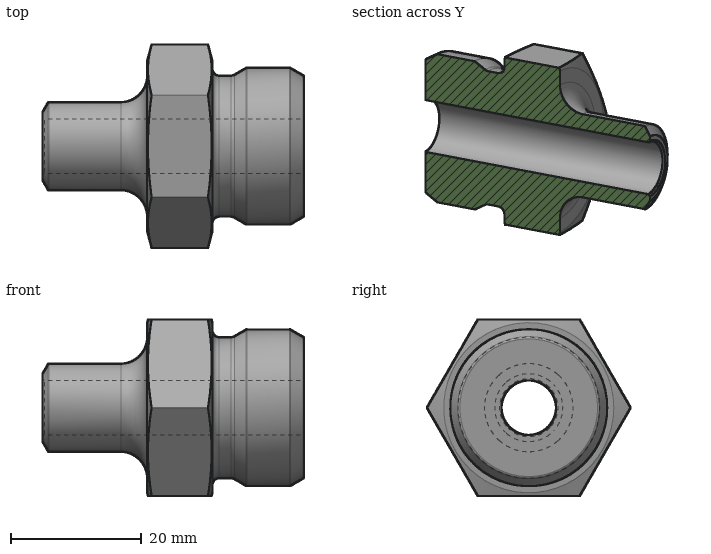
import cadquery as cq
import math

TOTAL_LENGTH = 40.0
HEX_START = 16.0
HEX_END = 26.0

HEX_ACROSS_FLATS = 27.0
HEX_CORNER_ROUND = 0.1
HEX_FACE_DIAMETER = 26.0
HEX_CHAMFER_ANGLE = 15.0

STUB_DIAMETER = 13.5
STUB_TIP_DIAMETER = 10.4
STUB_TIP_ANGLE = 60.0
STUB_TIP_ROUND = 0.2
STUB_ROOT_RADIUS = 4.0

THREAD_DIAMETER = 24.0
THREAD_START = 31.2
THREAD_FLANK_ANGLE = 30.0
THREAD_EDGE_ROUND = 0.2
THREAD_END_DIAMETER = 21.5
THREAD_END_ROUND = 0.4
UNDERCUT_DIAMETER = 21.6
UNDERCUT_RADIUS = 1.0

BORE_DIAMETER = 8.3
BORE_CHAMFER = 0.3


def slope(angle):
    """Radial rise per unit of axial travel for a cone at this angle to the axis."""
    return math.tan(math.radians(angle))


def revolve_about_x(profile):
    """Turn a closed half profile, lying in the XY plane, fully about the X axis."""
    return profile.revolve(360, (0, 0, 0), (1, 0, 0))


def round_circle(body, x, radius, round_radius):
    """Round the circular edge of the given radius that lies in the plane at x."""
    reach = 0.01
    box = cq.selectors.BoxSelector(
        (x - reach, -radius - reach, -radius - reach),
        (x + reach, radius + reach, radius + reach),
        boundingbox=True,
    )
    return body.edges(box).fillet(round_radius)


def make_stub():
    """Bevelled stub that flares into the hexagon with a quarter-round root."""
    radius = STUB_DIAMETER / 2
    tip_radius = STUB_TIP_DIAMETER / 2
    bevel_end = (radius - tip_radius) / slope(STUB_TIP_ANGLE)
    profile = (
        cq.Workplane("XY")
        .lineTo(0, tip_radius)
        .lineTo(bevel_end, radius)
        .lineTo(HEX_START - STUB_ROOT_RADIUS, radius)
        .radiusArc((HEX_START, radius + STUB_ROOT_RADIUS), -STUB_ROOT_RADIUS)
        .lineTo(HEX_START, 0)
        .close()
    )
    stub = revolve_about_x(profile)
    return round_circle(stub, bevel_end, radius, STUB_TIP_ROUND)


def make_hexagon():
    """Hexagon with flats on +Z and -Z, its corners cut by a cone at both ends."""
    across_corners = HEX_ACROSS_FLATS / math.cos(math.pi / 6)
    length = HEX_END - HEX_START
    prism = (
        cq.Workplane("YZ", origin=(HEX_START, 0, 0))
        .polygon(6, across_corners)
        .extrude(length)
        .edges("|X")
        .fillet(HEX_CORNER_ROUND)
    )
    face_radius = HEX_FACE_DIAMETER / 2
    corner_radius = across_corners / 2
    chamfer_depth = (corner_radius - face_radius) * slope(HEX_CHAMFER_ANGLE)
    envelope_profile = (
        cq.Workplane("XY")
        .moveTo(HEX_START, 0)
        .lineTo(HEX_START, face_radius)
        .lineTo(HEX_START + chamfer_depth, corner_radius)
        .lineTo(HEX_END - chamfer_depth, corner_radius)
        .lineTo(HEX_END, face_radius)
        .lineTo(HEX_END, 0)
        .close()
    )
    return prism.intersect(revolve_about_x(envelope_profile))


def make_threaded_end():
    """Undercut neck, sloped shoulder, thread cylinder and bevelled end."""
    radius = THREAD_DIAMETER / 2
    end_radius = THREAD_END_DIAMETER / 2
    neck_radius = UNDERCUT_DIAMETER / 2
    flank = slope(THREAD_FLANK_ANGLE)
    neck_end = THREAD_START - (radius - neck_radius) / flank
    bevel_start = TOTAL_LENGTH - (radius - end_radius) / flank
    profile = (
        cq.Workplane("XY")
        .moveTo(HEX_END, 0)
        .lineTo(HEX_END, neck_radius + UNDERCUT_RADIUS)
        .radiusArc((HEX_END + UNDERCUT_RADIUS, neck_radius), -UNDERCUT_RADIUS)
        .lineTo(neck_end, neck_radius)
        .lineTo(THREAD_START, radius)
        .lineTo(bevel_start, radius)
        .lineTo(TOTAL_LENGTH, end_radius)
        .lineTo(TOTAL_LENGTH, 0)
        .close()
    )
    body = revolve_about_x(profile)
    body = round_circle(body, neck_end, neck_radius, UNDERCUT_RADIUS)
    body = round_circle(body, THREAD_START, radius, THREAD_EDGE_ROUND)
    body = round_circle(body, bevel_start, radius, THREAD_EDGE_ROUND)
    return round_circle(body, TOTAL_LENGTH, end_radius, THREAD_END_ROUND)


def make_bore():
    """Through bore with a small 45 degree chamfer at the stub mouth."""
    radius = BORE_DIAMETER / 2
    profile = (
        cq.Workplane("XY")
        .lineTo(0, radius + BORE_CHAMFER)
        .lineTo(BORE_CHAMFER, radius)
        .lineTo(TOTAL_LENGTH, radius)
        .lineTo(TOTAL_LENGTH, 0)
        .close()
    )
    return revolve_about_x(profile)


result = make_hexagon().union(make_stub()).union(make_threaded_end()).cut(make_bore())